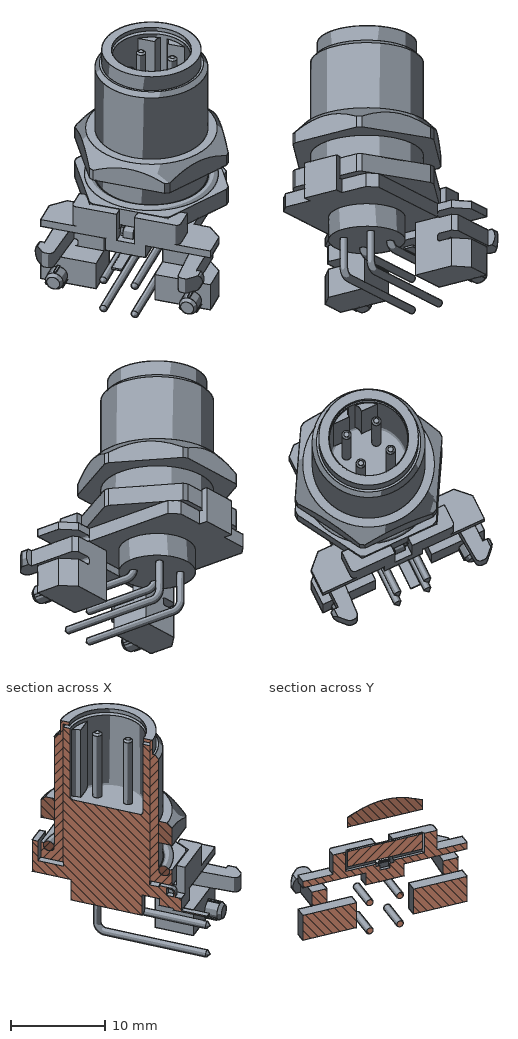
import cadquery as cq
import math


HEIGHT = 26.95
WIDTH = 19.0
LENGTH = 20.7

TOP_Z = 15.8
THREAD_R = 12.0 / 2
COLLAR_R = 5.28
COLLAR_LENGTH = 1.75
LEDGE_R = 5.53
LIP_R = 4.23
LIP_LENGTH = 0.45
INSERT_R = 4.93
HEX_FLATS = 15.02
HEX_CORNER_R = 17.0 / 2
FLANGE_THICKNESS = 2.0

NUT_BOTTOM_Z = 3.05
NUT_TOP_Z = 5.8
NUT_TOP_R = 6.98

RING_TUBE_R = 0.6
RING_R = 6.6
RING_Z = -0.3

RIM_DEPTH = 0.75
CUP_R = 4.15
CUP_FLOOR_FILLET = 0.32
CUP_DEPTH = 8.9
KEY_FLAT_Y = 3.24
KEY_DEPTH = 1.19
KEYWAY_R = 1.43 / 2
KEYWAY_TOP_Y = 4.23
STEM_R = 4.07
STEM_BOTTOM_Z = -6.55

PIN_OFFSET = 1.75
CONTACT_R = 1.0 / 2
CONTACT_CHAMFER = 0.22
CONTACT_DEPTH = 1.7
TAIL_R = 0.4
TAIL_BEND_R = 0.97
TAIL_Y = -10.78
TAIL_POINT = 0.38
REAR_TAIL_Z = TOP_Z - HEIGHT + TAIL_R
FRONT_TAIL_Z = -7.17

HALF_WIDTH = WIDTH / 2
FRONT_Y = -8.6
BACK_Y = -4.23
WING_CHAMFER = 1.5
PLATE_TOP_Z = -2.45
WING_BOTTOM_Z = -3.32
PLATE_BOTTOM_Z = -4.0
PLATE_HALF_WIDTH = 6.2
PLATE_BACK_Y = HEX_FLATS / 2
PLATE_CHAMFER = 0.97
TAB_HALF_WIDTH = 2.08
TAB_BACK_Y = 8.5
TAB_THICKNESS = 0.67
WALL_BACK_Y = -6.0
WALL_HALF_WIDTH = 6.05
WALL_EDGE_R = 0.49
WALL_CLEARANCE = 0.08
SLOT_HALF_WIDTH = 1.0
SLOT_BACK_Y = -6.87
TONGUE_HALF_WIDTH = 2.25
TONGUE_BOTTOM_Z = -4.83
OPENING_HALF_WIDTH = 3.3
FOOT_TOP_Z = -6.75
FOOT_BOTTOM_Z = -9.95
NECK_R = 0.27

LATCH_TOP_Z = -4.07
LATCH_BOTTOM_Z = -5.88
LATCH_OUTER_X = 8.5
LATCH_ROOT_X = 6.63
LATCH_INNER_X = 6.98
HOOK_X = 9.35
HOOK_Y = -10.27
HOOK_TIP_Y = -10.85
LATCH_END_Y = TAB_BACK_Y - LENGTH
LATCH_END_X = 8.03
LATCH_END_R = 0.57
HOOK_CROWN_R = 1.27

PEG_X = 7.5
PEG_Z = -8.98
PEG_R = 1.0
PEG_LENGTH = 1.8
PEG_CHAMFER_LENGTH = 0.4
PEG_CHAMFER = 0.27
RIB_REACH = 1.13
RIB_WIDTH = 0.27
RIB_LENGTH = 1.35

STRIP_HALF_WIDTH = 0.57
STRIP_THICKNESS = 0.22
STRIP_TOP_Z = -2.3
STRIP_BEND_R = 0.5
STRIP_FRONT_Y = -7.85
STRIP_END_Y = -11.55
CHEEK_EDGE_Z = -2.5
CHEEK_STEP_Z = -3.05
CHEEK_EDGE_Y = -7.15
CHEEK_FRONT_Y = -7.5


def box(x_range, y_range, z_range):
    sizes = [high - low for low, high in (x_range, y_range, z_range)]
    return cq.Workplane("XY").box(*sizes, centered=False).translate((x_range[0], y_range[0], z_range[0]))


def centred_box(half_width, y_range, z_range):
    return box((-half_width, half_width), y_range, z_range)


def cylinder(radius, bottom_z, top_z):
    return cq.Workplane("XY").workplane(offset=bottom_z).circle(radius).extrude(top_z - bottom_z)


def revolved(points):
    """Solid of revolution about Z from (radius, z) points."""
    return cq.Workplane("XZ").polyline(points).close().revolve(360, (0, 0, 0), (0, 1, 0))


def hexagon(across_flats, bottom_z, top_z):
    across_corners = across_flats / math.cos(math.pi / 6)
    prism = cq.Workplane("XY").workplane(offset=bottom_z).polygon(6, across_corners)
    return prism.extrude(top_z - bottom_z)


def both_sides(part):
    return part.union(part.mirror("YZ"))


def make_o_ring():
    section = cq.Workplane("XZ").center(RING_R, RING_Z).circle(RING_TUBE_R)
    return section.revolve(360, (-RING_R, 0, 0), (-RING_R, 1, 0))


def make_shell(o_ring):
    ledge_z = TOP_Z - COLLAR_LENGTH
    tube = revolved([
        (0, 0),
        (THREAD_R, 0),
        (THREAD_R, ledge_z - (THREAD_R - LEDGE_R)),
        (LEDGE_R, ledge_z),
        (COLLAR_R, ledge_z),
        (COLLAR_R, TOP_Z),
        (0, TOP_Z),
    ])
    flange = hexagon(HEX_FLATS, -FLANGE_THICKNESS, 0)
    flange = flange.intersect(cylinder(HEX_CORNER_R, -FLANGE_THICKNESS, 0))
    bore = cylinder(INSERT_R, -FLANGE_THICKNESS, TOP_Z - LIP_LENGTH)
    mouth = cylinder(LIP_R, 0, TOP_Z)
    return tube.union(flange).cut(bore).cut(mouth).cut(o_ring)


def make_nut():
    turned = revolved([
        (0, NUT_BOTTOM_Z),
        (HEX_CORNER_R, NUT_BOTTOM_Z),
        (HEX_CORNER_R, NUT_TOP_Z - (HEX_CORNER_R - NUT_TOP_R)),
        (NUT_TOP_R, NUT_TOP_Z),
        (0, NUT_TOP_Z),
    ])
    blank = hexagon(HEX_FLATS, NUT_BOTTOM_Z, NUT_TOP_Z).intersect(turned)
    return blank.cut(cylinder(THREAD_R, NUT_BOTTOM_Z, NUT_TOP_Z))


def make_insert():
    rim_z = TOP_Z - RIM_DEPTH
    floor_z = rim_z - CUP_DEPTH
    key_top_z = TOP_Z - KEY_DEPTH
    cup = cylinder(CUP_R, floor_z, rim_z).faces("<Z").edges().fillet(CUP_FLOOR_FILLET)
    key = centred_box(CUP_R, (KEY_FLAT_Y, CUP_R), (floor_z, key_top_z))
    keyway = (
        cq.Workplane("XY").workplane(offset=floor_z)
        .moveTo(-KEYWAY_R, 0)
        .lineTo(-KEYWAY_R, KEYWAY_TOP_Y - KEYWAY_R)
        .threePointArc((0, KEYWAY_TOP_Y), (KEYWAY_R, KEYWAY_TOP_Y - KEYWAY_R))
        .lineTo(KEYWAY_R, 0)
        .close()
        .extrude(key_top_z - floor_z)
    )
    body = cylinder(INSERT_R, PLATE_TOP_Z, rim_z)
    stem = cylinder(STEM_R, STEM_BOTTOM_Z, PLATE_TOP_Z)
    return body.union(stem).cut(cup.cut(key.cut(keyway)))


def make_pin(x, y, tail_z):
    """Straight contact above, bent tail below that ends in a point toward -Y."""
    floor_z = TOP_Z - RIM_DEPTH - CUP_DEPTH
    contact = cylinder(CONTACT_R, floor_z, TOP_Z - CONTACT_DEPTH)
    contact = contact.faces(">Z").chamfer(CONTACT_CHAMFER).translate((x, y, 0))
    bend_z = tail_z + TAIL_BEND_R
    bend_mid = TAIL_BEND_R * (1 - math.cos(math.pi / 4))
    path = (
        cq.Workplane("YZ", origin=(x, 0, 0))
        .moveTo(y, floor_z)
        .lineTo(y, bend_z)
        .threePointArc((y - bend_mid, tail_z + bend_mid), (y - TAIL_BEND_R, tail_z))
        .lineTo(TAIL_Y, tail_z)
    )
    tail = cq.Workplane("XY", origin=(x, y, floor_z)).circle(TAIL_R).sweep(path)
    point = cq.Solid.makeCone(TAIL_R, 0, TAIL_POINT, cq.Vector(x, TAIL_Y, tail_z), cq.Vector(0, -1, 0))
    return contact.union(tail).union(cq.Workplane(point))


def make_wing_outline(bottom_z, top_z):
    """Full-width slab whose two back corners are chamfered."""
    slab = centred_box(HALF_WIDTH, (FRONT_Y, BACK_Y), (bottom_z, top_z))
    return slab.edges("|Z and >Y").chamfer(WING_CHAMFER)


def make_plate():
    plate = centred_box(PLATE_HALF_WIDTH, (WALL_BACK_Y, PLATE_BACK_Y), (PLATE_BOTTOM_Z, PLATE_TOP_Z))
    plate = plate.edges("|Z and >Y").chamfer(PLATE_CHAMFER)
    tab = centred_box(TAB_HALF_WIDTH, (PLATE_BACK_Y, TAB_BACK_Y), (PLATE_BOTTOM_Z, PLATE_TOP_Z))
    upright_y = (TAB_BACK_Y - TAB_THICKNESS, TAB_BACK_Y)
    upright = centred_box(TAB_HALF_WIDTH, upright_y, (PLATE_BOTTOM_Z, 0))
    return plate.union(tab).union(upright)


def make_wall():
    """Upright wall that holds one flat of the flange, with its slot and the tongue below it."""
    wall = centred_box(WALL_HALF_WIDTH, (FRONT_Y, WALL_BACK_Y), (PLATE_TOP_Z, 0))
    wall = wall.edges("|Z and <Y").fillet(WALL_EDGE_R)
    tongue = centred_box(TONGUE_HALF_WIDTH, (FRONT_Y, WALL_BACK_Y), (TONGUE_BOTTOM_Z, WING_BOTTOM_Z))
    wings = make_wing_outline(WING_BOTTOM_Z, PLATE_TOP_Z)
    recess = hexagon(HEX_FLATS + 2 * WALL_CLEARANCE, PLATE_TOP_Z, 0)
    slot = centred_box(SLOT_HALF_WIDTH, (FRONT_Y, SLOT_BACK_Y), (WING_BOTTOM_Z, 0))
    return wall.cut(recess).union(wings).cut(slot).union(tongue)


def make_cheeks():
    """Sloped steps on both sides of the grounding strip, at the back of the slot."""
    profile = [
        (WALL_BACK_Y, WING_BOTTOM_Z),
        (CHEEK_FRONT_Y, WING_BOTTOM_Z),
        (CHEEK_FRONT_Y, CHEEK_STEP_Z),
        (CHEEK_EDGE_Y, CHEEK_EDGE_Z),
        (CHEEK_EDGE_Y, STRIP_TOP_Z),
        (WALL_BACK_Y, STRIP_TOP_Z),
    ]
    cheek = cq.Workplane("YZ", origin=(STRIP_HALF_WIDTH, 0, 0)).polyline(profile).close()
    return both_sides(cheek.extrude(SLOT_HALF_WIDTH - STRIP_HALF_WIDTH))


def make_columns():
    """Legs between plate and feet, with round-ended gaps above and below each latch."""
    depth = (WALL_BACK_Y, BACK_Y)
    column = box((OPENING_HALF_WIDTH, LATCH_ROOT_X), depth, (FOOT_TOP_Z, WING_BOTTOM_Z))
    for gap in ((LATCH_TOP_Z, WING_BOTTOM_Z), (FOOT_TOP_Z, LATCH_BOTTOM_Z)):
        notch = box((PLATE_HALF_WIDTH, HALF_WIDTH), depth, gap)
        column = column.cut(notch.edges("|Y and <X").fillet(NECK_R))
    return both_sides(column)


def make_latches():
    arm = (
        cq.Workplane("XY").workplane(offset=LATCH_BOTTOM_Z)
        .polyline([
            (LATCH_ROOT_X, BACK_Y),
            (LATCH_OUTER_X, BACK_Y),
            (LATCH_OUTER_X, HOOK_Y),
            (HOOK_X, HOOK_Y),
            (HOOK_X, HOOK_TIP_Y),
            (LATCH_END_X, LATCH_END_Y),
            (LATCH_INNER_X, LATCH_END_Y),
            (LATCH_ROOT_X, WALL_BACK_Y),
        ])
        .close()
        .extrude(LATCH_TOP_Z - LATCH_BOTTOM_Z)
        .faces("<Y").edges("|Z").fillet(LATCH_END_R)
    )
    crown_x = HOOK_X - HOOK_CROWN_R
    length = (LATCH_END_Y, BACK_Y)
    crown = cq.Workplane("XZ", origin=(crown_x, BACK_Y, (LATCH_TOP_Z + LATCH_BOTTOM_Z) / 2))
    crown = crown.circle(HOOK_CROWN_R).extrude(BACK_Y - LATCH_END_Y)
    inner_side = box((0, LATCH_OUTER_X), length, (LATCH_BOTTOM_Z, LATCH_TOP_Z))
    arm = arm.intersect(crown.union(inner_side))
    corner_limit = make_wing_outline(LATCH_BOTTOM_Z, LATCH_TOP_Z)
    beyond_front = centred_box(HALF_WIDTH, (LATCH_END_Y, FRONT_Y), (LATCH_BOTTOM_Z, LATCH_TOP_Z))
    return both_sides(arm.intersect(corner_limit.union(beyond_front)))


def make_feet():
    feet = make_wing_outline(FOOT_BOTTOM_Z, FOOT_TOP_Z)
    return feet.cut(centred_box(OPENING_HALF_WIDTH, (FRONT_Y, BACK_Y), (FOOT_BOTTOM_Z, FOOT_TOP_Z)))


def make_pegs():
    peg = cq.Workplane("XZ").circle(PEG_R).extrude(PEG_LENGTH)
    peg = peg.faces("<Y").chamfer(PEG_CHAMFER_LENGTH, PEG_CHAMFER)
    for angle in (0, 120, 240):
        rib = centred_box(RIB_WIDTH / 2, (-RIB_LENGTH, 0), (0, RIB_REACH))
        peg = peg.union(rib.rotate((0, 0, 0), (0, 1, 0), angle))
    return both_sides(peg.translate((PEG_X, FRONT_Y, PEG_Z)))


def make_strip():
    """Strip from under the flange, down through the tongue and out to the front."""
    inner_r = STRIP_BEND_R - STRIP_THICKNESS
    bend_y = STRIP_FRONT_Y + STRIP_BEND_R
    bend_z = STRIP_TOP_Z - STRIP_BEND_R
    diagonal = math.sin(math.pi / 4)
    profile = (
        cq.Workplane("YZ", origin=(-STRIP_HALF_WIDTH, 0, 0))
        .moveTo(WALL_BACK_Y, STRIP_TOP_Z)
        .lineTo(bend_y, STRIP_TOP_Z)
        .threePointArc(
            (bend_y - STRIP_BEND_R * diagonal, bend_z + STRIP_BEND_R * diagonal),
            (STRIP_FRONT_Y, bend_z),
        )
        .lineTo(STRIP_FRONT_Y, TONGUE_BOTTOM_Z)
        .lineTo(STRIP_END_Y, TONGUE_BOTTOM_Z)
        .lineTo(STRIP_END_Y, TONGUE_BOTTOM_Z - STRIP_THICKNESS)
        .lineTo(STRIP_FRONT_Y + STRIP_THICKNESS, TONGUE_BOTTOM_Z - STRIP_THICKNESS)
        .lineTo(STRIP_FRONT_Y + STRIP_THICKNESS, bend_z)
        .threePointArc(
            (bend_y - inner_r * diagonal, bend_z + inner_r * diagonal),
            (bend_y, STRIP_TOP_Z - STRIP_THICKNESS),
        )
        .lineTo(WALL_BACK_Y, STRIP_TOP_Z - STRIP_THICKNESS)
        .close()
    )
    return profile.extrude(2 * STRIP_HALF_WIDTH)


def make_carrier():
    carrier = make_insert()
    for part in (
        make_plate(), make_wall(), make_cheeks(), make_columns(),
        make_latches(), make_feet(), make_pegs(), make_strip(),
    ):
        carrier = carrier.union(part)
    for x in (-PIN_OFFSET, PIN_OFFSET):
        carrier = carrier.union(make_pin(x, PIN_OFFSET, REAR_TAIL_Z))
        carrier = carrier.union(make_pin(x, -PIN_OFFSET, FRONT_TAIL_Z))
    return carrier


o_ring = make_o_ring()
shell = make_shell(o_ring)
nut = make_nut()
carrier = make_carrier()

result = cq.Compound.makeCompound([shell.val(), nut.val(), o_ring.val(), carrier.val()])